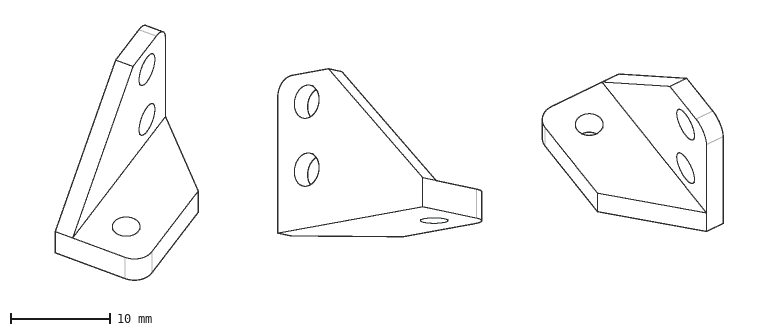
import cadquery as cq

width = 10.0
length = 20.0
height = 16.0

wall_thickness = 2.0
base_thickness = 3.0
corner_radius = 2.0

base_slant = width - wall_thickness
wall_slant = height - base_thickness

base_hole_diameter = 2.8
base_hole_x = 6.0
base_hole_y = 4.0

wall_hole_diameter = 3.4
wall_hole_y = 16.0
wall_hole_heights = (6.0, 13.0)


def make_base():
    """Horizontal flange with a slanted rear edge and one rounded front corner."""
    base = (
        cq.Workplane("XY")
        .polyline([
            (0, 0),
            (width, 0),
            (width, length - base_slant),
            (wall_thickness, length),
            (0, length),
        ])
        .close()
        .extrude(base_thickness)
    )
    base = base.edges(cq.selectors.NearestToPointSelector((width, 0, base_thickness / 2)))
    base = base.fillet(corner_radius)
    hole = (
        cq.Workplane("XY")
        .center(base_hole_x, base_hole_y)
        .circle(base_hole_diameter / 2)
        .extrude(base_thickness)
    )
    return base.cut(hole)


def make_wall():
    """Upright flange with a slanted front edge and one rounded upper rear corner."""
    wall = (
        cq.Workplane("YZ")
        .polyline([
            (0, 0),
            (length, 0),
            (length, height),
            (wall_slant, height),
            (0, base_thickness),
        ])
        .close()
        .extrude(wall_thickness)
    )
    wall = wall.edges(cq.selectors.NearestToPointSelector((wall_thickness / 2, length, height)))
    wall = wall.fillet(corner_radius)
    holes = (
        cq.Workplane("YZ")
        .pushPoints([(wall_hole_y, z) for z in wall_hole_heights])
        .circle(wall_hole_diameter / 2)
        .extrude(wall_thickness)
    )
    return wall.cut(holes)


result = make_base().union(make_wall())